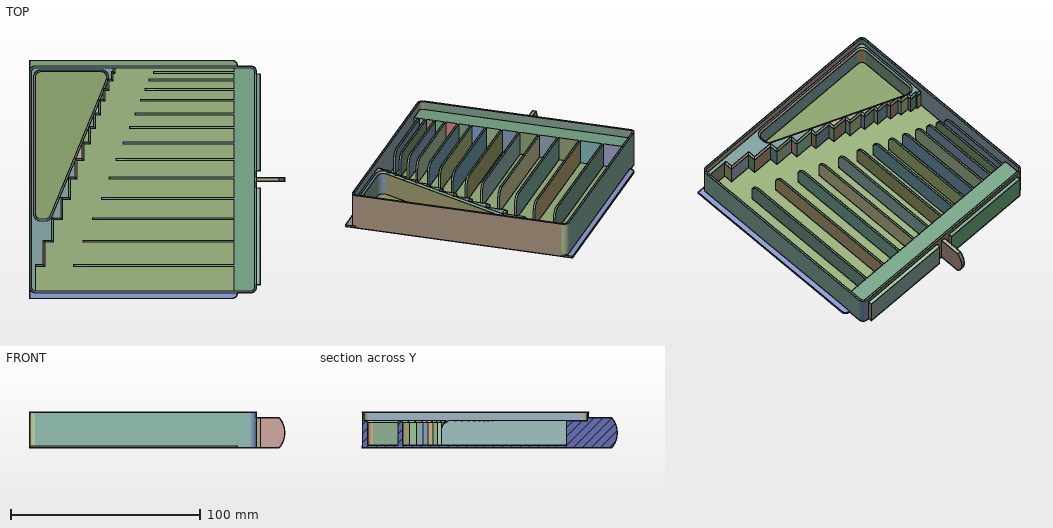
import cadquery as cq

side = 120.0
height = 19.0
wall = 1.0
corner_radius = 3.0
floor_top = 1.5
deck_top = 14.5
half_inside = side / 2 - wall

runner_width = 126.0
runner_length = 110.0
runner_thickness = 1.0
runner_corner_radius = 3.0

slot_end_x = 108.0
blade_thickness = 1.0
blade_tip_radius = 5.0
step_chamfer = 1.0
slots = [
    (13.0, 3.0, 23.3),
    (11.8, 8.2, 28.3),
    (10.9, 12.7, 33.2),
    (9.8, 17.5, 37.9),
    (9.8, 21.6, 42.0),
    (8.8, 25.0, 45.8),
    (7.7, 28.7, 49.3),
    (7.2, 32.2, 52.8),
    (6.2, 34.8, 55.8),
    (6.2, 37.4, 58.6),
    (4.7, 39.9, 61.1),
    (4.1, 42.0, 63.2),
    (2.8, 44.2, 65.4),
]
last_step_x = 45.2

well_left = 2.0
well_back = 58.0
well_front = -22.0
well_back_right = 43.8
well_front_right = 10.8
well_corner_radius = 4.0
well_chamfer = 1.0

grip_height = 16.0
grip_thickness = 2.0
grip_flat_end = 132.02
grip_tip = 135.02
strip_thickness = 2.0
strip_inner_y = 4.5
strip_outer_y = 55.8


def box(x0, x1, y0, y1, z0, z1):
    return cq.Workplane("XY").box(x1 - x0, y1 - y0, z1 - z0, centered=False).translate((x0, y0, z0))


def interior(top):
    space = box(wall, side - wall, -half_inside, half_inside, floor_top, top)
    return space.edges("|Z").fillet(corner_radius - wall)


def make_shell():
    outside = box(0, side, -side / 2, side / 2, 0, height)
    return outside.edges("|Z").fillet(corner_radius).cut(interior(height))


def make_runners():
    plate = box(0, runner_length, -runner_width / 2, runner_width / 2, 0, runner_thickness)
    return plate.edges("|Z and >X").fillet(runner_corner_radius)


def blade_bottoms():
    bottoms = []
    y = -half_inside
    for width, _, _ in slots:
        y += width
        bottoms.append(y)
        y += blade_thickness
    return bottoms


def make_step_block():
    step_xs = [step_x for _, step_x, _ in slots] + [last_step_x]
    outline = [(0, -half_inside), (step_xs[0], -half_inside)]
    for step_y, lower_x, upper_x in zip(blade_bottoms(), step_xs, step_xs[1:]):
        outline += [(lower_x, step_y), (upper_x, step_y)]
    outline += [(last_step_x, half_inside), (0, half_inside)]
    block = cq.Workplane("XY").polyline(outline).close().extrude(deck_top)
    chamfered_span = cq.selectors.BoxSelector(
        (wall, blade_bottoms()[0] - wall, 0), (slot_end_x, half_inside, height)
    )
    step_edges = block.faces(">Z").edges(chamfered_span)
    return step_edges.chamfer(step_chamfer).intersect(interior(deck_top))


def make_well():
    corners = [
        (well_left, well_front),
        (well_front_right, well_front),
        (well_back_right, well_back),
        (well_left, well_back),
    ]
    rim_plane = cq.Workplane("XY").workplane(offset=deck_top - well_chamfer)
    rim = rim_plane.polyline(corners).close().extrude(height - deck_top + well_chamfer)
    flare = rim.edges("|Z").fillet(well_corner_radius).faces("<Z").chamfer(well_chamfer)
    throat = flare.faces("<Z").wires().toPending().workplane().extrude(deck_top - well_chamfer - floor_top)
    return flare.union(throat)


def make_deck():
    return box(slot_end_x, side, -side / 2, side / 2, 0, deck_top).intersect(interior(deck_top))


def make_blade(bottom_y, tip_x):
    blade = box(tip_x, slot_end_x, bottom_y, bottom_y + blade_thickness, 0, deck_top)
    return blade.edges("|Y and <X and >Z").fillet(blade_tip_radius)


def make_grip():
    outline = (
        cq.Workplane("XZ")
        .moveTo(side - wall, 0)
        .lineTo(grip_flat_end, 0)
        .threePointArc((grip_tip, grip_height / 2), (grip_flat_end, grip_height))
        .lineTo(side - wall, grip_height)
        .close()
    )
    return outline.extrude(grip_thickness / 2, both=True)


def make_strip():
    return box(side - wall, side + strip_thickness, strip_inner_y, strip_outer_y, 0, grip_height)


result = make_shell().union(make_runners())
result = result.union(make_step_block()).union(make_deck())
for bottom_y, (_, _, tip_x) in zip(blade_bottoms(), slots):
    result = result.union(make_blade(bottom_y, tip_x))
result = result.cut(make_well()).union(make_grip())
strip = make_strip()
result = result.union(strip).union(strip.mirror("XZ"))